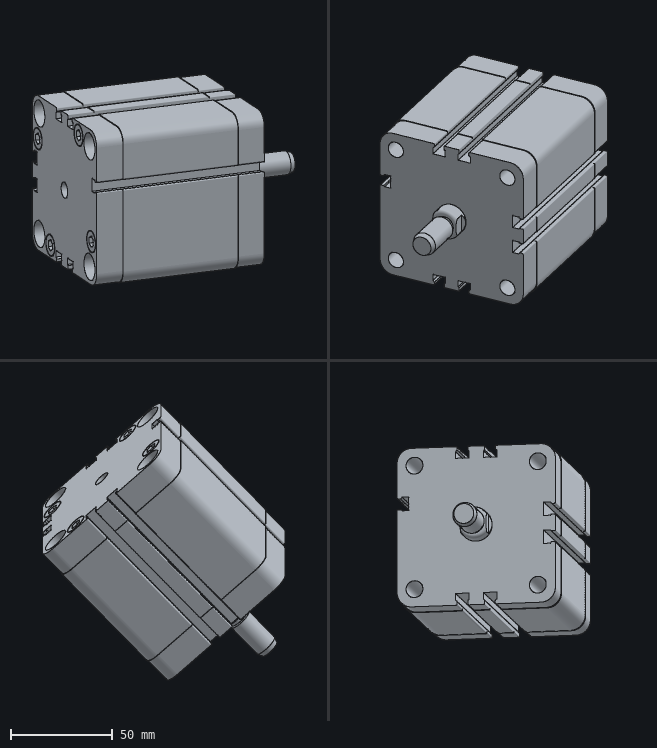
import cadquery as cq
import math


barrel_width = 80.0
cap_inset = 0.3
cap_width = barrel_width - 2 * cap_inset
corner_radius = 7.3
cap_length = 14.1
barrel_length = 61.7
body_length = barrel_length + 2 * cap_length

slot_depth = 6.2
slot_lip_depth = 2.9
slot_floor = barrel_width / 2 - slot_depth
slot_lip_end = barrel_width / 2 - slot_lip_depth
slot_inner_wall = 3.6
slot_outer_wall = 10.3
slot_inner_lip = 4.1
slot_outer_lip = 9.5
inner_lip_radius = 0.4
outer_lip_radius = 0.7
single_slot_shift = 5.0

bolt_offset = 30.9
bolt_diameter = 8.4
counterbore_diameter = 13.5
counterbore_depth = 8.5

screw_near_offset = 17.4
screw_far_offset = 32.9
screw_recess_diameter = 11.0
screw_head_diameter = 10.5
screw_head_height = 5.0
screw_socket_width = 5.0
screw_socket_depth = 5.0

center_hole_diameter = 8.0
center_hole_depth = 4.0

overall_length = 121.5
rod_diameter = 16.0
rod_length = 7.8
rod_end_radius = 2.0
flats_width = 13.0
flats_start = 2.0
thread_root_diameter = 10.0
neck_length = 2.1
thread_diameter = 12.0
thread_runout = 0.5
thread_tip_length = 2.8


def rear_plane(y):
    """Sketch plane at depth y: local x is X, local y is Z, normal points to -Y."""
    return cq.Workplane("XZ", origin=(0, y, 0))


def turned(shape, degrees):
    return shape.rotate((0, 0, 0), (0, 1, 0), degrees)


def lip_arc_middle(center, radius, side):
    """Middle point of a lip rounding, towards +X (side = 1) or -X (side = -1)."""
    reach = radius * math.sqrt(0.5)
    return (center[0] + side * reach, center[1] + reach)


def slot_cutter(face, start, length):
    """T-slot sunk into the top face at z = face, with rounded lips and a 45 degree underside."""
    outside = face + slot_depth
    outer_slope = slot_outer_wall - slot_outer_lip
    inner_slope = slot_inner_lip - slot_inner_wall
    outer_center = (slot_outer_lip + outer_lip_radius, face - outer_lip_radius)
    inner_center = (slot_inner_lip - inner_lip_radius, face - inner_lip_radius)
    outer_mid = lip_arc_middle(outer_center, outer_lip_radius, -1)
    inner_mid = lip_arc_middle(inner_center, inner_lip_radius, 1)
    return (
        rear_plane(start + length)
        .moveTo(slot_inner_wall, slot_floor)
        .lineTo(slot_outer_wall, slot_floor)
        .lineTo(slot_outer_wall, slot_lip_end)
        .lineTo(slot_outer_lip, slot_lip_end + outer_slope)
        .lineTo(slot_outer_lip, outer_center[1])
        .threePointArc(outer_mid, (outer_center[0], face))
        .lineTo(outer_center[0], outside)
        .lineTo(inner_center[0], outside)
        .lineTo(inner_center[0], face)
        .threePointArc(inner_mid, (slot_inner_lip, inner_center[1]))
        .lineTo(slot_inner_lip, slot_lip_end + inner_slope)
        .lineTo(slot_inner_wall, slot_lip_end)
        .close()
        .extrude(length)
    )


def body_section(width, start, length):
    """Rounded square prism with slot pairs on -X, +Z and -Z and one slot on +X."""
    section = rear_plane(start + length).rect(width, width).extrude(length)
    section = section.edges("|Y").fillet(corner_radius)
    slot = slot_cutter(width / 2, start, length)
    slot_pair = slot.union(slot.mirror("YZ"))
    for angle in (0, 180, -90):
        section = section.cut(turned(slot_pair, angle))
    single_slot = turned(slot.mirror("YZ").translate((-single_slot_shift, 0, 0)), 90)
    return section.cut(single_slot)


def mounting_holes():
    centers = rear_plane(0).rect(2 * bolt_offset, 2 * bolt_offset, forConstruction=True).vertices()
    holes = centers.circle(bolt_diameter / 2).extrude(-body_length)
    counterbores = centers.circle(counterbore_diameter / 2).extrude(-counterbore_depth)
    return holes.union(counterbores)


def screw_recesses():
    """Thin rings around the flush screw heads and their hexagon sockets, all with a corner up."""
    near, far = screw_near_offset, screw_far_offset
    positions = [(near, far), (far, -near), (-near, -far), (-far, near)]
    centers = rear_plane(0).pushPoints(positions)
    recesses = centers.circle(screw_recess_diameter / 2).extrude(-screw_head_height)
    heads = centers.circle(screw_head_diameter / 2).extrude(-screw_head_height)
    recesses = recesses.cut(heads)
    for x, z in positions:
        socket = rear_plane(0).transformed(offset=(x, z, 0))
        socket = socket.polygon(6, screw_socket_width, circumscribed=True).extrude(-screw_socket_depth)
        recesses = recesses.union(socket)
    return recesses


def center_hole():
    return rear_plane(0).circle(center_hole_diameter / 2).extrude(-center_hole_depth)


def piston_rod():
    rod_end = body_length + rod_length
    neck_end = rod_end + neck_length
    rod = (
        cq.Workplane("XY")
        .moveTo(0, body_length)
        .lineTo(rod_diameter / 2, body_length)
        .lineTo(rod_diameter / 2, rod_end - rod_end_radius)
        .radiusArc((rod_diameter / 2 - rod_end_radius, rod_end), -rod_end_radius)
        .lineTo(thread_root_diameter / 2, rod_end)
        .lineTo(thread_root_diameter / 2, neck_end)
        .lineTo(thread_diameter / 2, neck_end + thread_runout)
        .lineTo(thread_diameter / 2, overall_length - thread_tip_length)
        .lineTo(thread_root_diameter / 2, overall_length)
        .lineTo(0, overall_length)
        .close()
        .revolve(360, (0, 0, 0), (0, 1, 0))
    )
    flat = flats_width / 2
    slope = rod_diameter / 2 - flat
    flat_base = body_length + flats_start
    flat_cutter = (
        cq.Workplane("XY")
        .moveTo(flat, flat_base)
        .lineTo(flat + slope, flat_base - slope)
        .lineTo(flat + slope, rod_end)
        .lineTo(flat, rod_end)
        .close()
        .extrude(rod_diameter / 2, both=True)
    )
    return rod.cut(flat_cutter).cut(flat_cutter.mirror("YZ"))


rear_cap = body_section(cap_width, 0, cap_length)
barrel = body_section(barrel_width, cap_length, barrel_length)
front_cap = body_section(cap_width, cap_length + barrel_length, cap_length)

body = rear_cap.union(barrel).union(front_cap)
body = body.cut(mounting_holes()).cut(screw_recesses()).cut(center_hole())
result = body.union(piston_rod())